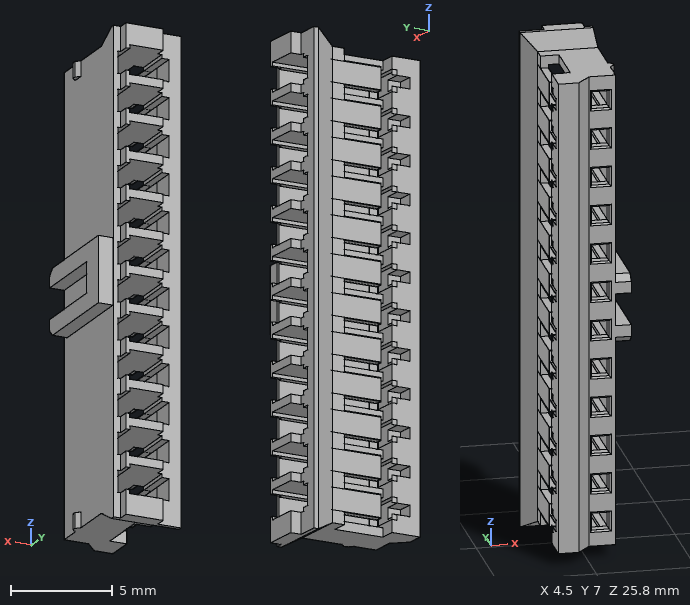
import cadquery as cq
LENGTH = 25.8
WIDTH = 4.5
DEPTH = 7.0

FLARE = 0.65
BODY_LEFT = FLARE
BODY_RIGHT = 3.7
BODY_LENGTH = LENGTH - 2 * FLARE
NOSE_WIDTH = 1.03
SLOPE_WIDTH = 0.67
FACE_Y = 0.77
FLANGE_BACK_Y = 6.4
FLANGE_FRONT_Y = 6.15
FLARE_START_Y = 4.98

POSITIONS = 12
PITCH = 2.0
POSITION_Z = [(i - (POSITIONS - 1) / 2) * PITCH for i in range(POSITIONS)]

CHANNEL_FRONT_Y = 1.6
CHANNEL_BACK_Y = 4.3
CHANNEL_FLOOR_X = 1.57
TONGUE_TIP_Y = 2.22
TONGUE_HEIGHT = 1.25
TONGUE_THICKNESS = 0.4

SKIN = 0.013
CAVITY_LEFT = BODY_LEFT + SKIN
CAVITY_STEP_X = 3.1
CAVITY_RIGHT = 3.45
CAVITY_HEIGHT = 1.55
CAVITY_NARROW = 1.15
CAVITY_FRONT_Y = 1.32
NOTCH_HEIGHT = 0.6
NOTCH_FRONT_Y = 0.6

HOLE_LEFT = 2.5
HOLE_SIZE = 0.88
HOLE_MOUTH = 1.05
MOUTH_DEPTH = (HOLE_MOUTH - HOLE_SIZE) / 2

PARTITION_LEFT = 1.26
PARTITION_RIGHT = 3.3

LATCH_LENGTH = 3.53
LATCH_GAP = 1.65
LATCH_BACK_Y = 6.32
LATCH_CHAMFER = 0.34
BRIDGE_FRONT_Y = FLARE_START_Y

RIB_HEIGHT = 0.23
RIB_BASE = 0.67
RIB_TIP = 0.2
RIB_LENGTH = 0.83
RIB_Y = 2.37


def block(x0, x1, y0, y1, height, z=0.0):
    """Box between two X and two Y planes, centred on z."""
    return cq.Workplane("XY").box(x1 - x0, y1 - y0, height).translate(((x0 + x1) / 2, (y0 + y1) / 2, z))


def make_body():
    nose_right = BODY_LEFT + NOSE_WIDTH
    core = (
        cq.Workplane("XY")
        .polyline([
            (BODY_LEFT, 0),
            (nose_right, 0),
            (nose_right + SLOPE_WIDTH, FACE_Y),
            (BODY_RIGHT, FACE_Y),
            (BODY_RIGHT, FLANGE_BACK_Y),
            (BODY_LEFT, FLANGE_BACK_Y),
        ])
        .close()
        .extrude(BODY_LENGTH / 2, both=True)
    )
    rim = block(0, BODY_RIGHT, FLANGE_FRONT_Y, FLANGE_BACK_Y, LENGTH)
    flare = (
        cq.Workplane("XZ", origin=(0, FLARE_START_Y, 0))
        .center((BODY_LEFT + BODY_RIGHT) / 2, 0)
        .rect(BODY_RIGHT - BODY_LEFT, BODY_LENGTH)
        .workplane(offset=FLARE_START_Y - FLANGE_FRONT_Y)
        .center(-FLARE / 2, 0)
        .rect(BODY_RIGHT, LENGTH)
        .loft(ruled=True)
    )
    rear_wall = block(PARTITION_LEFT, PARTITION_RIGHT, FLANGE_BACK_Y, DEPTH, LENGTH)
    return core.union(flare).union(rim).union(rear_wall)


def make_tongue(z):
    right = BODY_LEFT + TONGUE_THICKNESS
    return block(BODY_LEFT, right, TONGUE_TIP_Y, CHANNEL_BACK_Y, TONGUE_HEIGHT, z)


def make_cavity(z):
    tall = block(BODY_LEFT + TONGUE_THICKNESS, CAVITY_STEP_X, CHANNEL_FRONT_Y, DEPTH, CAVITY_HEIGHT, z)
    low = block(CAVITY_LEFT, CAVITY_RIGHT, CAVITY_FRONT_Y, DEPTH, CAVITY_NARROW, z)
    notch = block(BODY_LEFT, CHANNEL_FLOOR_X, NOTCH_FRONT_Y, CHANNEL_FRONT_Y, NOTCH_HEIGHT, z)
    return tall.union(low).union(notch)


def make_wire_hole(z):
    center_x = HOLE_LEFT + HOLE_SIZE / 2
    bore = block(HOLE_LEFT, HOLE_LEFT + HOLE_SIZE, FACE_Y, CAVITY_FRONT_Y, HOLE_SIZE, z)
    mouth = (
        cq.Workplane("XZ", origin=(center_x, FACE_Y, z))
        .rect(HOLE_MOUTH, HOLE_MOUTH)
        .workplane(offset=-MOUTH_DEPTH)
        .rect(HOLE_SIZE, HOLE_SIZE)
        .loft(ruled=True)
    )
    return bore.union(mouth)


def make_latch():
    bar = (
        block(BODY_RIGHT, WIDTH, FACE_Y, LATCH_BACK_Y, LATCH_LENGTH)
        .faces("<Y").edges("|X").chamfer(LATCH_CHAMFER)
    )
    return bar.cut(block(BODY_RIGHT, WIDTH, FACE_Y, BRIDGE_FRONT_Y, LATCH_GAP))


def make_end_rib(end):
    """Trapezoid rib ending flush with the top (end = 1) or bottom (end = -1) of the body."""
    return (
        cq.Workplane("XY", origin=(BODY_RIGHT, RIB_Y, end * BODY_LENGTH / 2))
        .polyline([
            (0, -RIB_BASE / 2),
            (RIB_HEIGHT, -RIB_TIP / 2),
            (RIB_HEIGHT, RIB_TIP / 2),
            (0, RIB_BASE / 2),
        ])
        .close()
        .extrude(-end * RIB_LENGTH)
    )


result = make_body()
channel = block(BODY_LEFT, CHANNEL_FLOOR_X, CHANNEL_FRONT_Y, CHANNEL_BACK_Y, LENGTH)
result = result.cut(channel)
for position in POSITION_Z:
    result = result.union(make_tongue(position))
    result = result.cut(make_cavity(position)).cut(make_wire_hole(position))
result = result.union(make_latch())
for end in (-1, 1):
    result = result.union(make_end_rib(end))